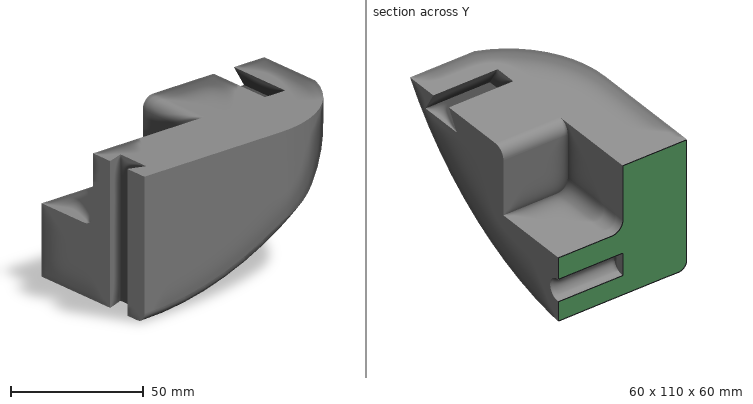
import cadquery as cq
import math

WIDTH = 60.0
LENGTH = 110.0
HEIGHT = 60.0

UNDERSIDE_RADIUS = (LENGTH**2 + HEIGHT**2) / (2 * HEIGHT)

NOSE_RADIUS = 45.0
NOSE_END_X = 30.0
NOSE_CENTER_X = WIDTH - NOSE_RADIUS
NOSE_RUN_Y = math.sqrt(NOSE_RADIUS**2 - (NOSE_END_X - NOSE_CENTER_X) ** 2)
NOSE_START_Y = LENGTH - NOSE_RUN_Y

BOTTOM_EDGE_RADIUS = 4.0

STEP_WIDTH = 30.0
STEP_LENGTH = 50.0
STEP_FLOOR_Z = 30.0
STEP_RADIUS = 5.0

TOP_DOVETAIL_CENTER_Y = 90.0
TOP_DOVETAIL_MOUTH = 10.0
TOP_DOVETAIL_BASE = 20.0
TOP_DOVETAIL_ANGLE = 60.0
TOP_DOVETAIL_FLARE = (TOP_DOVETAIL_BASE - TOP_DOVETAIL_MOUTH) / 2
TOP_DOVETAIL_DEPTH = TOP_DOVETAIL_FLARE * math.tan(math.radians(TOP_DOVETAIL_ANGLE))
TOP_DOVETAIL_LENGTH = 30.0

FRONT_DOVETAIL_CENTER_X = 45.0
FRONT_DOVETAIL_MOUTH = 10.0
FRONT_DOVETAIL_BASE = 15.0
FRONT_DOVETAIL_DEPTH = 7.2

HOLE_DIAMETER = 10.0
HOLE_Y = 15.0
HOLE_Z = 15.0
HOLE_DEPTH = 30.0


def arc_middle(center, radius, start_angle, end_angle):
    """Point halfway along an arc, with angles in radians."""
    angle = (start_angle + end_angle) / 2
    return (center[0] + radius * math.cos(angle), center[1] + radius * math.sin(angle))


def make_body():
    """Block with the arched underside and the rounded plan outline."""
    arch_center = (0, UNDERSIDE_RADIUS)
    arch_end_angle = math.atan2(HEIGHT - UNDERSIDE_RADIUS, LENGTH)
    arch_middle = arc_middle(arch_center, UNDERSIDE_RADIUS, -math.pi / 2, arch_end_angle)
    side = (
        cq.Workplane("YZ")
        .moveTo(0, 0)
        .threePointArc(arch_middle, (LENGTH, HEIGHT))
        .lineTo(0, HEIGHT)
        .close()
        .extrude(WIDTH)
    )
    side = side.faces(">X").edges("%CIRCLE").fillet(BOTTOM_EDGE_RADIUS)

    nose_center = (NOSE_CENTER_X, NOSE_START_Y)
    nose_end_angle = math.atan2(NOSE_RUN_Y, NOSE_END_X - NOSE_CENTER_X)
    nose_middle = arc_middle(nose_center, NOSE_RADIUS, 0, nose_end_angle)
    plan = (
        cq.Workplane("XY")
        .lineTo(WIDTH, 0)
        .lineTo(WIDTH, NOSE_START_Y)
        .threePointArc(nose_middle, (NOSE_END_X, LENGTH))
        .lineTo(0, LENGTH)
        .close()
        .extrude(HEIGHT)
    )
    return side.intersect(plan)


def cut_step(body):
    """Corner step with a filleted inner floor edge and a rounded top edge at its end wall."""
    step = (
        cq.Workplane("XY")
        .box(STEP_WIDTH, STEP_LENGTH, HEIGHT - STEP_FLOOR_Z, centered=False)
        .edges("|Y and >X and <Z")
        .fillet(STEP_RADIUS)
        .translate((0, 0, STEP_FLOOR_Z))
    )
    rounding = (
        cq.Workplane("YZ")
        .moveTo(STEP_LENGTH, HEIGHT - STEP_RADIUS)
        .radiusArc((STEP_LENGTH + STEP_RADIUS, HEIGHT), STEP_RADIUS)
        .lineTo(STEP_LENGTH, HEIGHT)
        .close()
        .extrude(STEP_WIDTH)
    )
    return body.cut(step).cut(rounding)


def dovetail(plane, center, mouth, base, mouth_level, base_level, length):
    """Dovetail prism whose profile is symmetric about center."""
    return (
        cq.Workplane(plane)
        .moveTo(center - mouth / 2, mouth_level)
        .lineTo(center - base / 2, base_level)
        .lineTo(center + base / 2, base_level)
        .lineTo(center + mouth / 2, mouth_level)
        .close()
        .extrude(length)
    )


def cut_dovetails(body):
    """Stopped dovetail slot in the top and full-height dovetail slot in the -Y face."""
    top_dovetail = dovetail(
        "YZ",
        TOP_DOVETAIL_CENTER_Y,
        TOP_DOVETAIL_MOUTH,
        TOP_DOVETAIL_BASE,
        HEIGHT,
        HEIGHT - TOP_DOVETAIL_DEPTH,
        TOP_DOVETAIL_LENGTH,
    )
    front_dovetail = dovetail(
        "XY",
        FRONT_DOVETAIL_CENTER_X,
        FRONT_DOVETAIL_MOUTH,
        FRONT_DOVETAIL_BASE,
        0,
        FRONT_DOVETAIL_DEPTH,
        HEIGHT,
    )
    return body.cut(top_dovetail).cut(front_dovetail)


def cut_hole(body):
    """Flat-bottomed round hole entering from the -X side."""
    hole = cq.Workplane("YZ").center(HOLE_Y, HOLE_Z).circle(HOLE_DIAMETER / 2).extrude(HOLE_DEPTH)
    return body.cut(hole)


result = cut_hole(cut_dovetails(cut_step(make_body())))